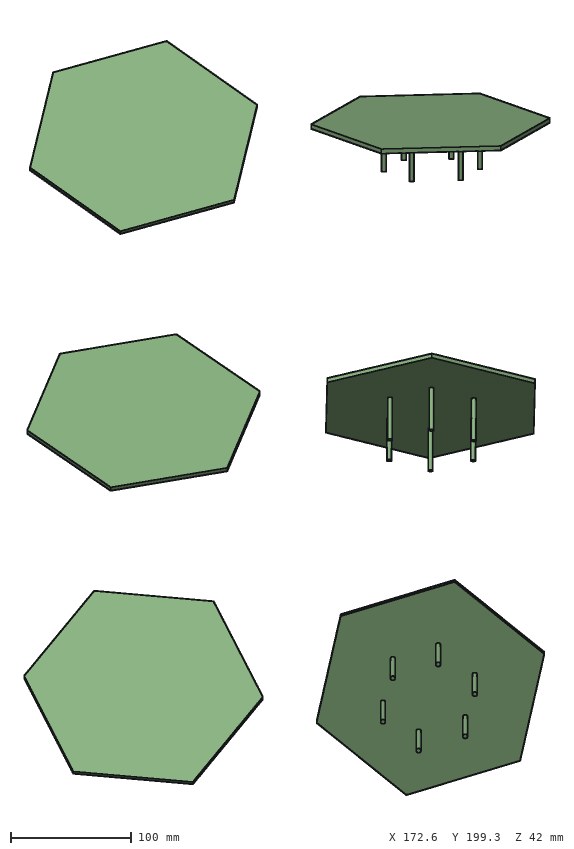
import cadquery as cq
import math

plate_across_corners = 199.3
plate_thickness = 4.0
total_height = 42.0

pin_diameter = 4.0
pin_length = total_height - plate_thickness
left_row_x, left_row_y = -33.5, 19.7
middle_row_x, middle_row_y = 1.8, 40.3
right_row_x, right_row_y = 36.0, 20.3


def hexagon_plate():
    radius = plate_across_corners / 2
    corner_angles = [math.radians(30 + 60 * i) for i in range(6)]
    corners = [(radius * math.cos(a), radius * math.sin(a)) for a in corner_angles]
    return cq.Workplane("XY").polyline(corners).close().extrude(plate_thickness)


def pins():
    rows = [
        (left_row_x, left_row_y),
        (middle_row_x, middle_row_y),
        (right_row_x, right_row_y),
    ]
    centers = [(x, side * y) for x, y in rows for side in (-1, 1)]
    return cq.Workplane("XY").pushPoints(centers).circle(pin_diameter / 2).extrude(-pin_length)


result = hexagon_plate().union(pins())